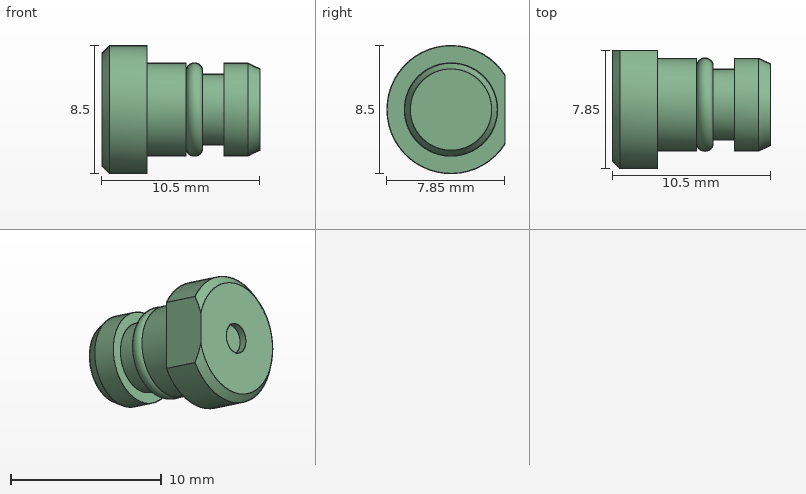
import cadquery as cq
import math

total_length = 10.5
head_length = 3.0
head_chamfer = 0.5
shank_end = 5.59
tip_start = 8.08
tip_chamfer_length = 0.8

head_diameter = 8.5
body_diameter = 6.15
groove_diameter = 4.7
tip_end_diameter = 5.4
ring_outer_diameter = 6.2
ring_section_diameter = 1.1
hole_diameter = 2.0

flat_offset = 3.6
hole_depth = 0.5

head_radius = head_diameter / 2
body_radius = body_diameter / 2
groove_radius = groove_diameter / 2
ring_section_radius = ring_section_diameter / 2
ring_center_radius = ring_outer_diameter / 2 - ring_section_radius
ring_center_x = shank_end + ring_section_radius


def make_head():
    """Chamfered round head with one flat on the +Y side."""
    head = cq.Workplane("YZ").circle(head_radius).extrude(head_length)
    head = head.faces("<X").chamfer(head_chamfer)
    cutter = cq.Workplane("XY").box(
        head_length, head_radius, head_diameter, centered=(False, False, True)
    )
    return head.cut(cutter.translate((0, flat_offset, 0)))


def make_stem():
    """Revolved shank, seal ring seated against the groove wall, and tapered tip."""
    floor_drop = ring_center_radius - groove_radius
    ring_floor_x = ring_center_x + math.sqrt(ring_section_radius**2 - floor_drop**2)
    return (
        cq.Workplane("XY")
        .lineTo(0, groove_radius)
        .lineTo(head_length, groove_radius)
        .lineTo(head_length, body_radius)
        .lineTo(shank_end, body_radius)
        .lineTo(shank_end, ring_center_radius)
        .threePointArc((ring_center_x, ring_outer_diameter / 2), (ring_floor_x, groove_radius))
        .lineTo(tip_start, groove_radius)
        .lineTo(tip_start, body_radius)
        .lineTo(total_length - tip_chamfer_length, body_radius)
        .lineTo(total_length, tip_end_diameter / 2)
        .lineTo(total_length, 0)
        .close()
        .revolve(360, (0, 0, 0), (1, 0, 0))
    )


hole = cq.Workplane("YZ").circle(hole_diameter / 2).extrude(hole_depth)

result = make_head().union(make_stem()).cut(hole)